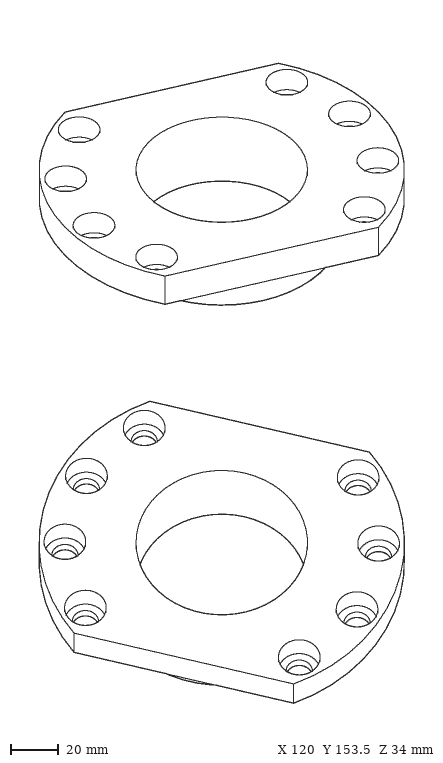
import cadquery as cq

flange_diameter = 153.5
flange_width = 120.0
flange_thickness = 15.0

total_height = 34.0
spigot_diameter = 100.0
spigot_chamfer = 1.0
bore_diameter = 72.0

bolt_circle_radius = 65.8
bolt_angles = [side + offset for side in (90, 270) for offset in (-45, -15, 15, 45)]
bolt_hole_diameter = 11.0
counterbore_diameter = 17.5
counterbore_depth = 10.7

spigot_height = total_height - flange_thickness


def make_flange():
    base = cq.Workplane("XY", origin=(0, 0, spigot_height))
    disc = base.circle(flange_diameter / 2).extrude(flange_thickness)
    flats = cq.Workplane("XY").box(flange_width, flange_diameter, total_height, centered=(True, True, False))
    return disc.intersect(flats)


def make_spigot():
    spigot = cq.Workplane("XY").circle(spigot_diameter / 2).extrude(spigot_height)
    return spigot.faces("<Z").edges().chamfer(spigot_chamfer)


def cut_bore(body):
    bore = cq.Workplane("XY").circle(bore_diameter / 2).extrude(total_height)
    return body.cut(bore)


def cut_bolt_holes(body):
    top = cq.Workplane("XY", origin=(0, 0, total_height))
    shank = top.center(bolt_circle_radius, 0).circle(bolt_hole_diameter / 2).extrude(-flange_thickness)
    head = top.center(bolt_circle_radius, 0).circle(counterbore_diameter / 2).extrude(-counterbore_depth)
    bolt = shank.union(head)
    for angle in bolt_angles:
        body = body.cut(bolt.rotate((0, 0, 0), (0, 0, 1), angle))
    return body


result = cut_bolt_holes(cut_bore(make_flange().union(make_spigot())))